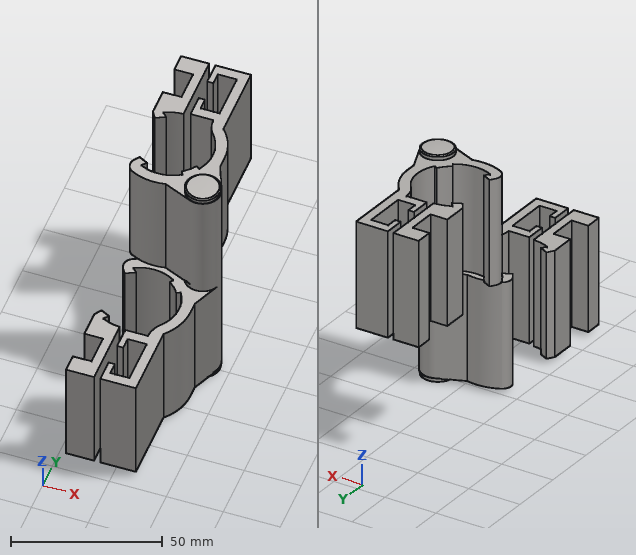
import cadquery as cq
import math


leaf_height = 40.0
leaf_gap = 1.8
leaf_base = leaf_gap / 2

barrel_radius = 6.2
cap_radius = 6.0
cap_height = 2.0
cap_side_height = 1.3
cap_bevel_width = 0.5
cap_dome_height = 0.2

leaf_reach = 54.8
bore_radius = 14.0
clip_wall = 4.0
clip_radius = bore_radius + clip_wall
bore_x = -16.4
bore_y = 16.1

channel_width = 12.5
channel_length = 23.7
channel_wall = 3.6
channel_lip = 2.2
upper_lip_length = 4.3
lower_lip_length = 4.2
channel_right = -3.3
channel_left = channel_right - channel_width
channel_bottom = leaf_reach - channel_length

neck_x = -7.8
neck_radius = 9.3
neck_angle = 39.0

pad_height = 1.5
pad_angle = -44.0
pad_half_angle = 12.5

flank_angle = -77.5
web_y = 12.0

hook_root_angle = -118.0
hook_point = (-5.0, -10.7)
hook_tip = (-8.3, -9.1)
hook_shoulder = (-9.5, -10.7)
hook_back = (-10.2, -13.1)
hook_end_angle = -118.4

strip_left = -27.8
strip_width = 9.9
strip_right = strip_left + strip_width
strip_notch_depth = 6.6
strip_notch_top = 48.3
strip_notch_bottom = 37.3
strip_corner = 27.9
strip_shift_x = -1.4
strip_shift_y = 0.2
strip_bore_x = bore_x + strip_shift_x
strip_bore_y = bore_y + strip_shift_y


def polar(radius, angle, center=(0, 0)):
    """Point at a radius and an angle in degrees from a centre."""
    turn = math.radians(angle)
    return (center[0] + radius * math.cos(turn), center[1] + radius * math.sin(turn))


def from_bore(offset):
    """Point given by its offset from the bore centre."""
    return (bore_x + offset[0], bore_y + offset[1])


def on_bore(radius, angle):
    """Point on a circle around the bore."""
    return polar(radius, angle, (bore_x, bore_y))


def barrel_tangent(point, side):
    """Direction in degrees at which a line from the point touches the barrel on the given side (+1 or -1)."""
    direction = math.degrees(math.atan2(point[1], point[0]))
    spread = math.degrees(math.acos(barrel_radius / math.hypot(*point)))
    return direction + side * spread


def leaf():
    """Upper leaf: channel, neck, clip ring with hook and pad, and hinge nose."""
    web_x = bore_x + clip_radius
    ring_top_angle = math.degrees(math.acos((channel_right - bore_x) / clip_radius))
    upper_touch = barrel_tangent((web_x, web_y), -1)
    lower_touch = barrel_tangent(on_bore(clip_radius, flank_angle), 1)
    pad_start = pad_angle + pad_half_angle
    pad_end = pad_angle - pad_half_angle
    pad_radius = bore_radius - pad_height

    outline = (
        cq.Workplane("XY", origin=(0, 0, leaf_base))
        .moveTo(channel_right, leaf_reach)
        .lineTo(*on_bore(clip_radius, ring_top_angle))
        .threePointArc(on_bore(clip_radius, ring_top_angle / 2), (web_x, bore_y))
        .lineTo(web_x, web_y)
        .lineTo(*polar(barrel_radius, upper_touch))
        .threePointArc(
            polar(barrel_radius, (upper_touch + lower_touch) / 2),
            polar(barrel_radius, lower_touch),
        )
        .lineTo(*on_bore(clip_radius, flank_angle))
        .threePointArc(
            on_bore(clip_radius, (flank_angle + hook_end_angle) / 2),
            on_bore(clip_radius, hook_end_angle),
        )
        .threePointArc(from_bore(hook_back), from_bore(hook_shoulder))
        .lineTo(*from_bore(hook_tip))
        .lineTo(*from_bore(hook_point))
        .lineTo(*on_bore(bore_radius, hook_root_angle))
        .threePointArc(
            on_bore(bore_radius, (hook_root_angle + pad_end) / 2),
            on_bore(bore_radius, pad_end),
        )
        .lineTo(*on_bore(pad_radius, pad_end))
        .threePointArc(on_bore(pad_radius, pad_angle), on_bore(pad_radius, pad_start))
        .lineTo(*on_bore(bore_radius, pad_start))
        .threePointArc(on_bore(bore_radius, 0), on_bore(bore_radius, neck_angle))
        .radiusArc((neck_x, channel_bottom), neck_radius)
        .lineTo(channel_left, channel_bottom)
        .lineTo(channel_left, channel_bottom + channel_wall + lower_lip_length)
        .lineTo(channel_left + channel_lip, channel_bottom + channel_wall + lower_lip_length)
        .lineTo(channel_left + channel_lip, channel_bottom + channel_wall)
        .lineTo(channel_right - channel_wall, channel_bottom + channel_wall)
        .lineTo(channel_right - channel_wall, leaf_reach - channel_wall)
        .lineTo(channel_left + channel_lip, leaf_reach - channel_wall)
        .lineTo(channel_left + channel_lip, leaf_reach - channel_wall - upper_lip_length)
        .lineTo(channel_left, leaf_reach - channel_wall - upper_lip_length)
        .lineTo(channel_left, leaf_reach)
        .close()
    )
    return outline.extrude(leaf_height)


def end_cap():
    """Bevelled, slightly domed cap on top of the upper leaf."""
    rim_radius = cap_radius - cap_bevel_width
    rim_height = cap_height - cap_dome_height
    dome_radius = (rim_radius**2 + cap_dome_height**2) / (2 * cap_dome_height)
    return (
        cq.Workplane("XZ", origin=(0, 0, leaf_base + leaf_height))
        .lineTo(cap_radius, 0)
        .lineTo(cap_radius, cap_side_height)
        .lineTo(rim_radius, rim_height)
        .radiusArc((0, cap_height), -dome_radius)
        .close()
        .revolve(360, (0, 0), (0, 1))
    )


def to_lower(body):
    """Matching lower body: half a turn about the X axis."""
    return body.rotate((0, 0, 0), (1, 0, 0), 180)


def hinge():
    """Both leaves, the barrel through them and the two end caps, in one piece."""
    upper_half = leaf().union(end_cap())
    barrel_end = leaf_base + leaf_height
    barrel = (
        cq.Workplane("XY", origin=(0, 0, -barrel_end))
        .circle(barrel_radius)
        .extrude(2 * barrel_end)
    )
    return barrel.union(upper_half).union(to_lower(upper_half))


def clamp_strip():
    """Upper clamping strip: notched on the outside, with a hooked lip facing the bore."""
    center = (strip_bore_x, strip_bore_y)

    def mirrored(offset):
        """Point of the leaf hook, mirrored across the strip's bore centre."""
        return (center[0] + offset[0], center[1] - offset[1])

    bore_start_angle = math.degrees(math.acos((strip_right - center[0]) / bore_radius))
    notch_x = strip_left + strip_notch_depth

    outline = (
        cq.Workplane("XY", origin=(0, 0, leaf_base))
        .moveTo(strip_left, leaf_reach)
        .lineTo(strip_right, leaf_reach)
        .lineTo(*polar(bore_radius, bore_start_angle, center))
        .threePointArc(
            polar(bore_radius, (bore_start_angle - hook_root_angle) / 2, center),
            polar(bore_radius, -hook_root_angle, center),
        )
        .lineTo(*mirrored(hook_point))
        .lineTo(*mirrored(hook_tip))
        .lineTo(strip_left, strip_corner)
        .lineTo(strip_left, strip_notch_bottom)
        .lineTo(notch_x, strip_notch_bottom)
        .lineTo(notch_x, strip_notch_top)
        .lineTo(strip_left, strip_notch_top)
        .close()
    )
    return outline.extrude(leaf_height)


hinge_body = hinge()
upper_strip = clamp_strip()
strips = [upper_strip, to_lower(upper_strip)]

result = cq.Compound.makeCompound([hinge_body.val(), *[strip.val() for strip in strips]])